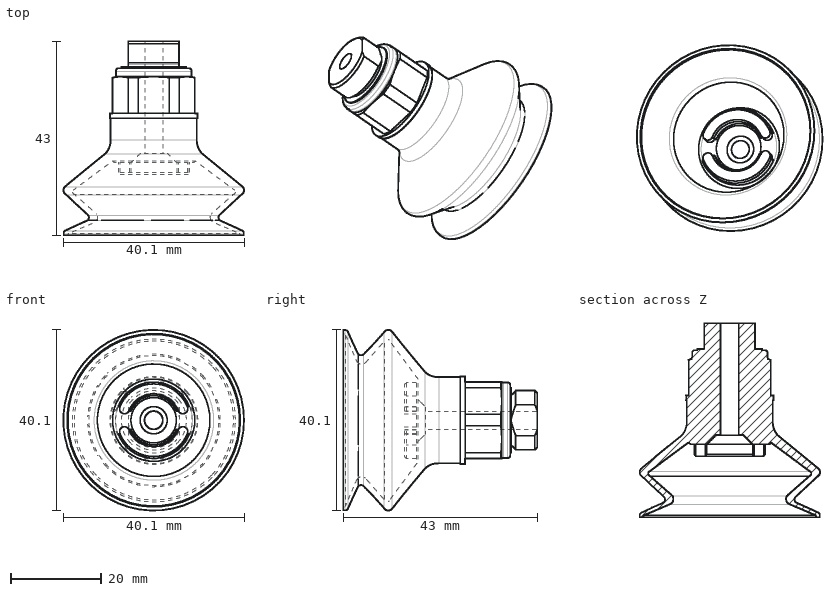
import cadquery as cq
import math

length = 43.0
cup_radius = 20.05
rim_radius = 20.0
bore_radius = 4.0 / 2

rim_height = 0.35
rim_arc_middle = (19.95, 0.7)
flare_outer_end = (19.7, 1.05)
flare_inner_end = (14.7, 3.3)
fold_radius = 14.4
fold_height = 3.85
fold_arc_end = (14.58, 4.47)
bulge_arc_start = (19.5, 9.05)
bulge_height = 9.95
bulge_arc_end = (19.7, 10.8)
neck_arc_start = (10.75, 18.1)
neck_arc_middle = (9.85, 19.52)
sleeve_radius = 9.6
sleeve_start = 21.15

lip_radius = 38.4 / 2
lip_step_radius = 19.0
lip_step_depth = 0.45
throat_arc_start = (13.25, 2.9)
throat_radius = 12.45
throat_height = 3.95
throat_arc_end = (12.73, 4.8)
cavity_arc_start = (17.65, 9.1)
cavity_radius = 18.05
cavity_bulge_height = 9.68
cavity_arc_end = (17.65, 10.25)
floor_height = 16.15
floor_edge_height = 16.55
floor_radius = 8.5
floor_edge_radius = 9.1
floor_edge_middle = (8.95, 16.3)

flange_radius = 19.5 / 2
flange_start = 25.97
flange_end = 27.0
hex_flats = 17.0
hex_round_radius = 9.15
hex_chamfer_start = 34.9
hex_end = 35.1
collar_radius = 16.8 / 2
collar_start = 35.48
collar_side_end = 36.38
collar_end = 37.02
collar_arc_middle = (8.2, 36.85)
collar_face_radius = 7.9
washer_radius = 14.4 / 2
washer_end = 37.3

head_radius = 13.2 / 2
head_flats = 11.3
head_start = 38.25
head_chamfer = 0.55
undercut_chamfer = 0.35
neck_radius = 5.68
neck_undercut_middle = (5.85, 37.6)

pad_height = 2.62
pad_inner_radius = 5.85
pad_outer_radius = 8.05
pad_chamfer = 0.4
pad_end_z = 2.55

funnel_radius = 5.05
funnel_bottom_radius = 6.0 / 2


def revolve_about_y(profile):
    return profile.close().revolve(360, (0, 0, 0), (0, 1, 0))


def cylinder_y(radius, start, end):
    """Cylinder on the Y axis between two heights."""
    return cq.Workplane("XZ", origin=(0, start, 0)).circle(radius).extrude(start - end)


def bellows_body():
    profile = (
        cq.Workplane("XY")
        .lineTo(rim_radius, 0)
        .lineTo(rim_radius, rim_height)
        .threePointArc(rim_arc_middle, flare_outer_end)
        .lineTo(*flare_inner_end)
        .threePointArc((fold_radius, fold_height), fold_arc_end)
        .lineTo(*bulge_arc_start)
        .threePointArc((cup_radius, bulge_height), bulge_arc_end)
        .lineTo(*neck_arc_start)
        .threePointArc(neck_arc_middle, (sleeve_radius, sleeve_start))
        .lineTo(sleeve_radius, flange_start)
        .lineTo(0, flange_start)
    )
    return revolve_about_y(profile)


def cavity():
    profile = (
        cq.Workplane("XY")
        .lineTo(lip_radius, 0)
        .lineTo(lip_step_radius, lip_step_depth)
        .lineTo(*throat_arc_start)
        .threePointArc((throat_radius, throat_height), throat_arc_end)
        .lineTo(*cavity_arc_start)
        .threePointArc((cavity_radius, cavity_bulge_height), cavity_arc_end)
        .lineTo(floor_edge_radius, floor_edge_height)
        .threePointArc(floor_edge_middle, (floor_radius, floor_height))
        .lineTo(0, floor_height)
    )
    return revolve_about_y(profile)


def fitting():
    flange = cylinder_y(flange_radius, flange_start, flange_end)
    hexagon = (
        cq.Workplane("XZ", origin=(0, flange_end, 0))
        .polygon(6, hex_flats / math.cos(math.pi / 6))
        .extrude(flange_end - hex_end)
    )
    hex_envelope = revolve_about_y(
        cq.Workplane("XY")
        .moveTo(0, flange_end)
        .lineTo(hex_round_radius, flange_end)
        .lineTo(hex_round_radius, hex_chamfer_start)
        .lineTo(hex_flats / 2, hex_end)
        .lineTo(0, hex_end)
    )
    collar = revolve_about_y(
        cq.Workplane("XY")
        .moveTo(0, hex_end)
        .lineTo(hex_flats / 2, hex_end)
        .lineTo(collar_radius, collar_start)
        .lineTo(collar_radius, collar_side_end)
        .threePointArc(collar_arc_middle, (collar_face_radius, collar_end))
        .lineTo(washer_radius, collar_end)
        .lineTo(washer_radius, washer_end)
        .lineTo(0, washer_end)
    )
    return flange.union(hexagon.intersect(hex_envelope)).union(collar)


def head():
    """Round head with a chamfer, a rounded undercut to the neck, and two flats facing +X and -X."""
    turned = revolve_about_y(
        cq.Workplane("XY")
        .moveTo(0, washer_end)
        .lineTo(neck_radius, washer_end)
        .threePointArc(neck_undercut_middle, (head_radius - undercut_chamfer, head_start - undercut_chamfer))
        .lineTo(head_radius, head_start)
        .lineTo(head_radius, length - head_chamfer)
        .lineTo(head_radius - head_chamfer, length)
        .lineTo(0, length)
    )
    return turned.intersect(cq.Workplane("XY").box(head_flats, 2 * length, 2 * head_radius))


def crescent_pads():
    """Two chamfered ring segments with rounded ends, standing on the cavity floor."""
    face = floor_height - pad_height
    ring = revolve_about_y(
        cq.Workplane("XY")
        .moveTo(pad_inner_radius, face)
        .lineTo(pad_outer_radius, face)
        .lineTo(pad_outer_radius + pad_chamfer, face + pad_chamfer)
        .lineTo(pad_outer_radius + pad_chamfer, floor_height)
        .lineTo(pad_inner_radius - pad_chamfer, floor_height)
        .lineTo(pad_inner_radius - pad_chamfer, face + pad_chamfer)
    )
    middle_radius = (pad_inner_radius + pad_outer_radius) / 2
    end_radius = (pad_outer_radius - pad_inner_radius) / 2
    end_x = math.sqrt(middle_radius**2 - pad_end_z**2)
    reach = 2
    sector = (
        cq.Workplane("XZ", origin=(0, floor_height, 0))
        .polyline([(0, 0), (reach * end_x, reach * pad_end_z), (0, reach * middle_radius),
                   (-reach * end_x, reach * pad_end_z)])
        .close()
        .extrude(pad_height)
    )
    ends = (
        cq.Workplane("XZ", origin=(0, floor_height, 0))
        .pushPoints([(-end_x, pad_end_z), (end_x, pad_end_z)])
        .circle(end_radius)
        .extrude(pad_height)
    )
    pad = ring.intersect(sector).union(ends)
    return pad.union(pad.mirror("XY"))


def funnel_and_bore():
    funnel_end = floor_height + funnel_radius - funnel_bottom_radius
    funnel = revolve_about_y(
        cq.Workplane("XY")
        .moveTo(0, floor_height)
        .lineTo(funnel_radius, floor_height)
        .lineTo(funnel_bottom_radius, funnel_end)
        .lineTo(0, funnel_end)
    )
    return funnel.union(cylinder_y(bore_radius, floor_height, length))


result = (
    bellows_body()
    .cut(cavity())
    .union(fitting())
    .union(head())
    .union(crescent_pads())
    .cut(funnel_and_bore())
)